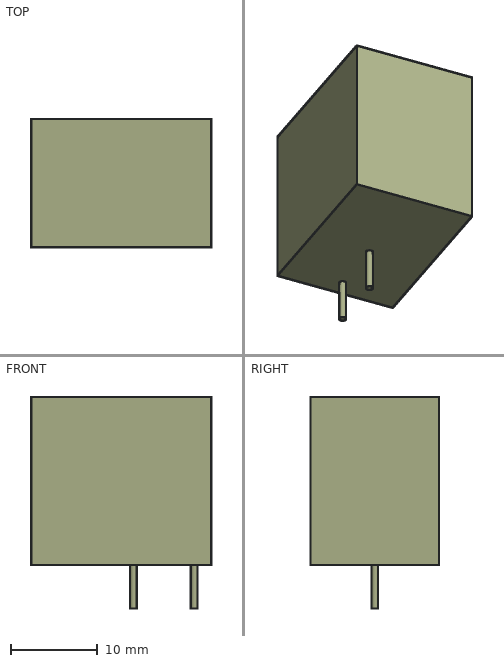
import cadquery as cq

housing_length = 20.8
housing_width = 14.8
overall_height = 24.4
pin_length = 5.0
housing_height = overall_height - pin_length

pin_diameter = 0.8
pin_places_x = [1.4, 8.4]


def make_housing():
    """Plain block standing on the plane Z = 0."""
    return cq.Workplane("XY").box(
        housing_length, housing_width, housing_height, centered=(True, True, False)
    )


def make_pin(place_x):
    """Round pin hanging from the underside of the housing."""
    return cq.Workplane("XY").center(place_x, 0).circle(pin_diameter / 2).extrude(-pin_length)


housing = make_housing()
pins = [make_pin(place_x) for place_x in pin_places_x]

result = cq.Compound.makeCompound([housing.val(), *[pin.val() for pin in pins]])